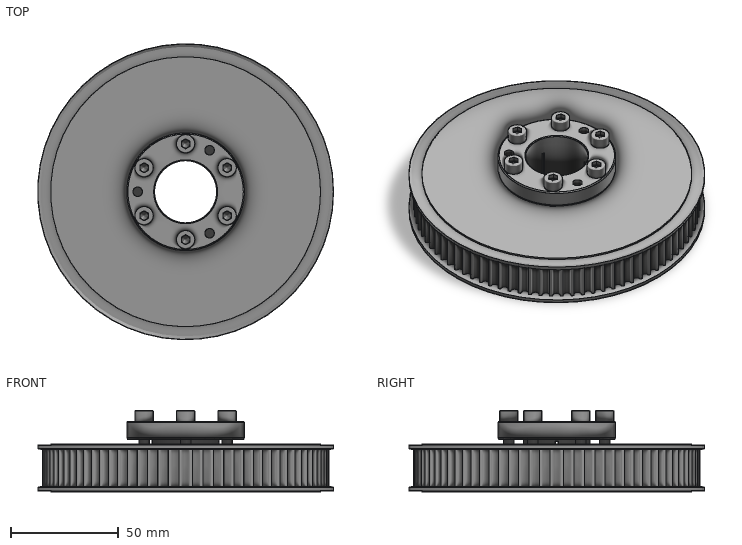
import cadquery as cq
import math

PULLEY_HEIGHT = 22.0
TOOTH_COUNT = 84
TIP_RADIUS = 66.3
GROOVE_RADIUS = 1.8
LIP_RADIUS = 0.4

FLANGE_RADIUS = 68.5
FLANGE_THICKNESS = 1.6
FLANGE_SEAT_RADIUS = 62.5
SEAT_PROUD_HEIGHT = 0.8
RIM_FLARE_WIDTH = 1.5
RIM_FLARE_RISE = 0.4
FLANGE_BASE = SEAT_PROUD_HEIGHT + FLANGE_THICKNESS

BUSHING_GAP = 2.2
COLLAR_THICKNESS = 8.4
COLLAR_RADIUS = 27.3
COLLAR_TOP_CHAMFER = 0.5
COLLAR_BOTTOM_CHAMFER_HEIGHT = 1.0
COLLAR_BOTTOM_CHAMFER_WIDTH = 0.4
HUB_RADIUS = 15.5
HUB_FILLET = 0.3
BORE_RADIUS = 14.4
BORE_CHAMFER = 0.4
SLIT_WIDTH = 1.2
SLIT_TOP_GAP = 1.0
SLIT_COUNT = 4
JACK_HOLE_RADIUS = 2.2
JACK_HOLE_COUNT = 3
FIRST_JACK_HOLE_ANGLE = 60
COLLAR_BOTTOM = PULLEY_HEIGHT + BUSHING_GAP
COLLAR_TOP = COLLAR_BOTTOM + COLLAR_THICKNESS

SCREW_COUNT = 6
FIRST_SCREW_ANGLE = 30
BOLT_CIRCLE_RADIUS = 22.2
SHANK_RADIUS = 2.5
SHANK_LENGTH = 20.0
HEAD_RADIUS = 4.2
HEAD_HEIGHT = 5.0
HEAD_FILLET = 0.4
SOCKET_ACROSS_FLATS = 4.0
SOCKET_DEPTH = 2.5
SOCKET_CONE_ANGLE = 120


def polar(radius, angle):
    """Point at a radius and an angle in degrees around the Z axis."""
    return (radius * math.cos(math.radians(angle)), radius * math.sin(math.radians(angle)))


def ring_angles(count, first_angle):
    """Equally spaced angles in degrees around the Z axis."""
    return [first_angle + 360 * i / count for i in range(count)]


SCREW_ANGLES = ring_angles(SCREW_COUNT, FIRST_SCREW_ANGLE)
JACK_HOLE_ANGLES = ring_angles(JACK_HOLE_COUNT, FIRST_JACK_HOLE_ANGLE)
SLIT_ANGLES = ring_angles(SLIT_COUNT, 0)


def cylinder(radius, bottom, top):
    return cq.Workplane("XY").workplane(offset=bottom).circle(radius).extrude(top - bottom)


def bolt_circle_cylinders(angles, radius, bottom, top):
    points = [polar(BOLT_CIRCLE_RADIUS, angle) for angle in angles]
    return cq.Workplane("XY").workplane(offset=bottom).pushPoints(points).circle(radius).extrude(top - bottom)


def tooth_outline():
    """Closed outline of round grooves joined to the tip circle by rounded lips."""
    pitch_angle = 360 / TOOTH_COUNT
    lip_offset = GROOVE_RADIUS + LIP_RADIUS
    lip_center_radius = TIP_RADIUS - LIP_RADIUS
    lip_angle = math.degrees(math.asin(lip_offset / lip_center_radius))
    groove_center_radius = lip_center_radius * math.cos(math.radians(lip_angle))

    def at(groove_angle, radial, sideways):
        """Point given along and across the direction of a groove."""
        x, y = polar(radial, groove_angle)
        dx, dy = polar(sideways, groove_angle + 90)
        return (x + dx, y + dy)

    lip_mid_angle = math.radians((90 - lip_angle) / 2)
    lip_mid_radial = groove_center_radius + LIP_RADIUS * math.sin(lip_mid_angle)
    lip_mid_sideways = lip_offset - LIP_RADIUS * math.cos(lip_mid_angle)

    outline = cq.Workplane("XY").workplane(offset=FLANGE_BASE).moveTo(*polar(TIP_RADIUS, -lip_angle))
    for i in range(TOOTH_COUNT):
        angle = i * pitch_angle
        outline = (
            outline.threePointArc(
                at(angle, lip_mid_radial, -lip_mid_sideways), at(angle, groove_center_radius, -GROOVE_RADIUS)
            )
            .threePointArc(
                at(angle, groove_center_radius - GROOVE_RADIUS, 0), at(angle, groove_center_radius, GROOVE_RADIUS)
            )
            .threePointArc(at(angle, lip_mid_radial, lip_mid_sideways), polar(TIP_RADIUS, angle + lip_angle))
            .threePointArc(
                polar(TIP_RADIUS, angle + pitch_angle / 2),
                polar(TIP_RADIUS, angle + pitch_angle - lip_angle),
            )
        )
    return outline.close()


def make_pulley():
    """Toothed disc with flange seats, a bore for the hub and blind holes for the screws."""
    pulley = tooth_outline().extrude(PULLEY_HEIGHT - 2 * FLANGE_BASE)
    pulley = pulley.union(cylinder(FLANGE_SEAT_RADIUS, 0, PULLEY_HEIGHT))
    pulley = pulley.cut(cylinder(HUB_RADIUS, 0, PULLEY_HEIGHT))
    return pulley.cut(bolt_circle_cylinders(SCREW_ANGLES, SHANK_RADIUS, COLLAR_TOP - SHANK_LENGTH, PULLEY_HEIGHT))


def make_upper_flange():
    """Ring seated on the upper shoulder of the pulley, with its rim flared away from the teeth."""
    bottom = PULLEY_HEIGHT - FLANGE_BASE
    top = bottom + FLANGE_THICKNESS
    flare_start = FLANGE_RADIUS - RIM_FLARE_WIDTH
    profile = [
        (FLANGE_SEAT_RADIUS, bottom),
        (flare_start, bottom),
        (FLANGE_RADIUS, bottom + RIM_FLARE_RISE),
        (FLANGE_RADIUS, top + RIM_FLARE_RISE),
        (flare_start, top),
        (FLANGE_SEAT_RADIUS, top),
    ]
    return cq.Workplane("XZ").polyline(profile).close().revolve(360, (0, 0), (0, 1))


def make_lower_flange():
    """Mirror image of the upper flange about the middle of the pulley."""
    return make_upper_flange().mirror("XY", (0, 0, PULLEY_HEIGHT / 2))


def make_bushing():
    """Collar on a slit hub, with a through bore, screw holes and jacking holes."""
    collar = cylinder(COLLAR_RADIUS, COLLAR_BOTTOM, COLLAR_TOP)
    collar = collar.faces(">Z").chamfer(COLLAR_TOP_CHAMFER)
    collar = collar.faces("<Z").chamfer(COLLAR_BOTTOM_CHAMFER_HEIGHT, COLLAR_BOTTOM_CHAMFER_WIDTH)
    bushing = collar.union(cylinder(HUB_RADIUS, 0, COLLAR_BOTTOM))
    hub_corner = cq.selectors.BoxSelector(
        (-COLLAR_RADIUS, -COLLAR_RADIUS, COLLAR_BOTTOM - HUB_FILLET),
        (COLLAR_RADIUS, COLLAR_RADIUS, COLLAR_BOTTOM + HUB_FILLET),
    )
    hub_corner_edge = bushing.edges(hub_corner).edges(cq.selectors.RadiusNthSelector(0))
    bushing = hub_corner_edge.fillet(HUB_FILLET)
    bushing = bushing.cut(cylinder(BORE_RADIUS, 0, COLLAR_TOP))
    bushing = bushing.faces(">Z").edges(cq.selectors.RadiusNthSelector(0)).chamfer(BORE_CHAMFER)
    bushing = bushing.cut(bolt_circle_cylinders(SCREW_ANGLES, SHANK_RADIUS, COLLAR_BOTTOM, COLLAR_TOP))
    bushing = bushing.cut(bolt_circle_cylinders(JACK_HOLE_ANGLES, JACK_HOLE_RADIUS, COLLAR_BOTTOM, COLLAR_TOP))
    slit_height = COLLAR_BOTTOM - SLIT_TOP_GAP
    slit = cq.Workplane("XY").box(COLLAR_RADIUS, SLIT_WIDTH, slit_height, centered=(False, True, False))
    for angle in SLIT_ANGLES:
        bushing = bushing.cut(slit.rotate((0, 0, 0), (0, 0, 1), angle))
    return bushing


def make_socket():
    """Hexagonal socket with a corner on +X, ending in a drill cone."""
    head_top = COLLAR_TOP + HEAD_HEIGHT
    hex_bottom = head_top - SOCKET_DEPTH
    corner_diameter = SOCKET_ACROSS_FLATS / math.cos(math.radians(30))
    cone_radius = SOCKET_ACROSS_FLATS / 2
    cone_height = cone_radius / math.tan(math.radians(SOCKET_CONE_ANGLE / 2))
    hexagon = cq.Workplane("XY").workplane(offset=hex_bottom).polygon(6, corner_diameter).extrude(SOCKET_DEPTH)
    cone = cq.Solid.makeCone(0, cone_radius, cone_height, cq.Vector(0, 0, hex_bottom - cone_height))
    return hexagon.union(cq.Workplane(obj=cone))


def make_screw(angle):
    """Cap screw with its head resting on the collar, at an angle on the bolt circle."""
    head = cylinder(HEAD_RADIUS, COLLAR_TOP, COLLAR_TOP + HEAD_HEIGHT)
    head = head.faces(">Z").edges().fillet(HEAD_FILLET)
    shank = cylinder(SHANK_RADIUS, COLLAR_TOP - SHANK_LENGTH, COLLAR_TOP)
    screw = head.union(shank).cut(make_socket())
    return screw.translate((BOLT_CIRCLE_RADIUS, 0, 0)).rotate((0, 0, 0), (0, 0, 1), angle)


pulley = make_pulley()
upper_flange = make_upper_flange()
lower_flange = make_lower_flange()
bushing = make_bushing()
screws = [make_screw(angle).val() for angle in SCREW_ANGLES]

result = cq.Compound.makeCompound(
    [pulley.val(), upper_flange.val(), lower_flange.val(), bushing.val(), *screws]
)